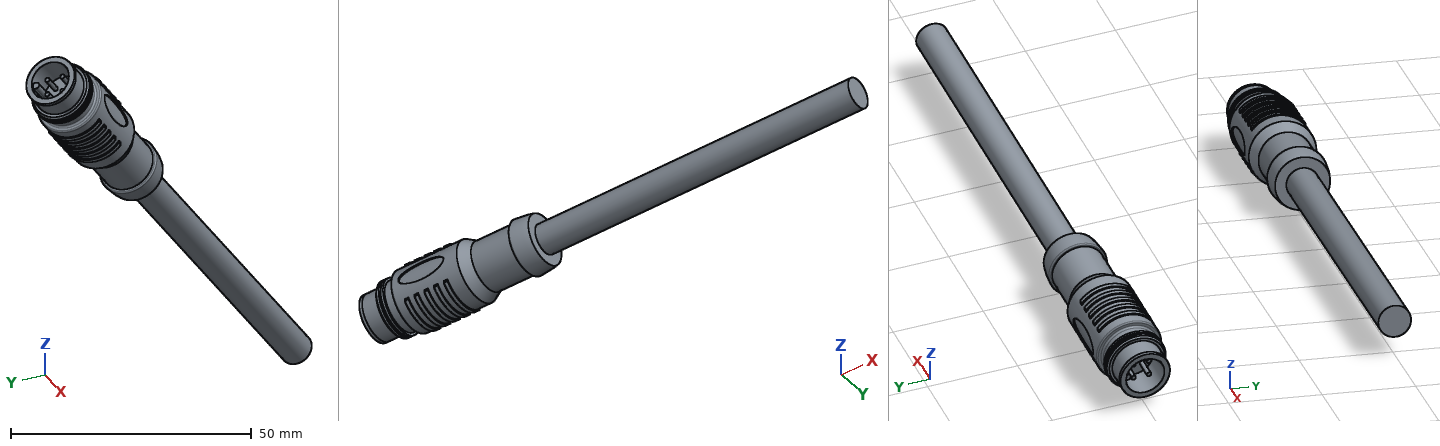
import cadquery as cq


INSERT_FLANGE = 0.8
FRONT_RING_START = 4.8
FRONT_RING_END = 5.8
REAR_RING_START = 6.3
REAR_RING_END = 6.9
GRIP_START = 9.35
GRIP_END = 26.3
NECK_START = 28.9
COLLAR_START = 38.9
COLLAR_END = 43.7
CABLE_END = 124.0

PLUG_RADIUS = 5.5
SHOULDER_RADIUS = 5.95
RING_RADIUS = 6.55
GRIP_RADIUS = 7.25
NECK_RADIUS = 5.8
COLLAR_RADIUS = 6.5
COLLAR_END_RADIUS = 5.9
CABLE_RADIUS = 3.5

RING_CHAMFER = 0.4
SHOULDER_FILLET = 0.4
EDGE_ROUND = 0.3

INSERT_BODY_RADIUS = 4.9
INSERT_LENGTH = 8.0
BORE_RADIUS = 4.25
BORE_DEPTH = 6.5
KEY_RADIUS = 0.7
KEY_CENTER_Y = 3.6
KEY_RECESS = 0.8

PIN_RADIUS = 0.5
PIN_SPACING = 3.4
PIN_TIP = 2.3
PIN_COUNT_PER_SIDE = 2

RIB_COUNT = 5
RIB_PITCH = 2.5
RIB_WIDTH = 1.0
RIB_HEIGHT = 0.3
RIB_HALF_SPAN = 5.75
FIRST_RIB_CENTER = 12.35

LABEL_CENTER = 17.1
LABEL_HALF_LENGTH = 5.8
LABEL_HALF_HEIGHT = 2.3
LABEL_DEPTH = 0.3


def axial_cylinder(start, end, radius):
    """Cylinder about the X axis between two stations."""
    return cq.Workplane("YZ", origin=(start, 0, 0)).circle(radius).extrude(end - start)


def housing_blank():
    """Turned outline of the plug sleeve, snap rings, grip, neck and collar."""
    collar_length = COLLAR_END - COLLAR_START - EDGE_ROUND
    collar_drop = COLLAR_RADIUS - COLLAR_END_RADIUS
    collar_arc_radius = (collar_length**2 + collar_drop**2) / (2 * collar_drop)
    return (
        cq.Workplane("XY")
        .moveTo(INSERT_FLANGE, 0)
        .lineTo(INSERT_FLANGE, PLUG_RADIUS)
        .lineTo(FRONT_RING_START, PLUG_RADIUS)
        .lineTo(FRONT_RING_START, RING_RADIUS - RING_CHAMFER)
        .lineTo(FRONT_RING_START + RING_CHAMFER, RING_RADIUS)
        .lineTo(FRONT_RING_END, RING_RADIUS)
        .lineTo(FRONT_RING_END, SHOULDER_RADIUS)
        .lineTo(REAR_RING_START, SHOULDER_RADIUS)
        .lineTo(REAR_RING_START, RING_RADIUS)
        .lineTo(REAR_RING_END, RING_RADIUS)
        .lineTo(REAR_RING_END, SHOULDER_RADIUS)
        .lineTo(GRIP_START - SHOULDER_FILLET, SHOULDER_RADIUS)
        .radiusArc((GRIP_START, SHOULDER_RADIUS + SHOULDER_FILLET), -SHOULDER_FILLET)
        .lineTo(GRIP_START, GRIP_RADIUS - EDGE_ROUND)
        .radiusArc((GRIP_START + EDGE_ROUND, GRIP_RADIUS), EDGE_ROUND)
        .lineTo(GRIP_END, GRIP_RADIUS)
        .lineTo(NECK_START, NECK_RADIUS)
        .lineTo(COLLAR_START, NECK_RADIUS)
        .lineTo(COLLAR_START, COLLAR_RADIUS - EDGE_ROUND)
        .radiusArc((COLLAR_START + EDGE_ROUND, COLLAR_RADIUS), EDGE_ROUND)
        .radiusArc((COLLAR_END, COLLAR_END_RADIUS), collar_arc_radius)
        .lineTo(COLLAR_END, 0)
        .close()
        .revolve(360, (0, 0, 0), (1, 0, 0))
    )


def grip_rib(center):
    """Pair of arc-shaped ribs at one station, with upright ends at +Y and -Y."""
    start = center - RIB_WIDTH / 2
    end = center + RIB_WIDTH / 2
    ring = axial_cylinder(start, end, GRIP_RADIUS + RIB_HEIGHT)
    core = axial_cylinder(start, end, GRIP_RADIUS - RIB_HEIGHT)
    span = cq.Workplane("XY", origin=(center, 0, 0)).box(
        RIB_WIDTH, 2 * RIB_HALF_SPAN, 4 * GRIP_RADIUS
    )
    return ring.cut(core).intersect(span)


def label_recesses():
    """Oval cutter for both sides, leaving a floor concentric with the grip."""
    oval = (
        cq.Workplane("XZ", origin=(LABEL_CENTER, 0, 0))
        .ellipse(LABEL_HALF_LENGTH, LABEL_HALF_HEIGHT)
        .extrude(2 * GRIP_RADIUS, both=True)
    )
    return oval.cut(axial_cylinder(GRIP_START, GRIP_END, GRIP_RADIUS - LABEL_DEPTH))


def make_housing():
    housing = housing_blank()
    for index in range(RIB_COUNT):
        housing = housing.union(grip_rib(FIRST_RIB_CENTER + index * RIB_PITCH))
    housing = housing.cut(label_recesses())
    insert_pocket = axial_cylinder(INSERT_FLANGE, INSERT_LENGTH, INSERT_BODY_RADIUS)
    return housing.cut(insert_pocket)


def make_insert():
    """Cup with a flanged mouth and a round coding key on the +Y side of its bore."""
    flange = axial_cylinder(0, INSERT_FLANGE, PLUG_RADIUS)
    body = axial_cylinder(0, INSERT_LENGTH, INSERT_BODY_RADIUS)
    bore = axial_cylinder(0, BORE_DEPTH, BORE_RADIUS)
    key_length = BORE_DEPTH - KEY_RECESS
    key_round = (
        cq.Workplane("YZ", origin=(KEY_RECESS, KEY_CENTER_Y, 0))
        .circle(KEY_RADIUS)
        .extrude(key_length)
    )
    key_web = (
        cq.Workplane("YZ", origin=(KEY_RECESS, KEY_CENTER_Y + KEY_RADIUS / 2, 0))
        .rect(KEY_RADIUS, 2 * KEY_RADIUS)
        .extrude(key_length)
    )
    return flange.union(body).cut(bore).union(key_round).union(key_web)


def make_pins():
    """Square pattern of contact pins standing on the bore floor."""
    return (
        cq.Workplane("YZ", origin=(PIN_TIP, 0, 0))
        .rarray(PIN_SPACING, PIN_SPACING, PIN_COUNT_PER_SIDE, PIN_COUNT_PER_SIDE)
        .circle(PIN_RADIUS)
        .extrude(BORE_DEPTH - PIN_TIP)
    )


def make_cable():
    """Plain round cable leaving the rear face of the collar."""
    return axial_cylinder(COLLAR_END, CABLE_END, CABLE_RADIUS)


housing = make_housing()
insert = make_insert()
pins = make_pins()
cable = make_cable()

result = cq.Compound.makeCompound([housing.val(), insert.val(), *pins.vals(), cable.val()])